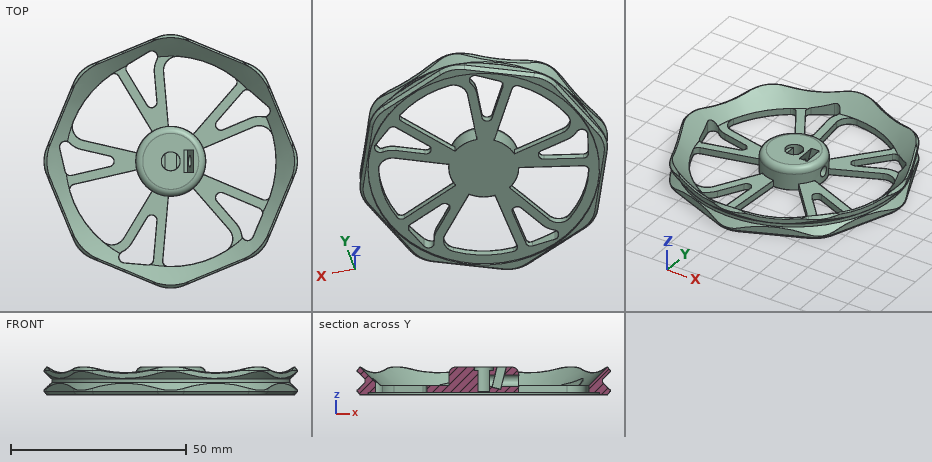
import cadquery as cq
import math

HEIGHT = 8.0
BLANK_HEIGHT = 1.5 * HEIGHT
RIM_SIDES = 8
RIM_CORNER_CIRCLE_DIAMETER = 74.0
RIM_CORNER_RADIUS = 10.0
CORNER_CHAMFER_HEIGHT = 1.0
CORNER_CHAMFER_DEPTH = 0.88
DISH_EDGE_CHAMFER = 0.8
GROOVE_FLOOR_RADIUS = 34.0
GROOVE_FLOOR_WIDTH = 1.0
GROOVE_MID_HEIGHT = HEIGHT / 2
GROOVE_REACH = 5.0
BOTTOM_RECESS_RADIUS = 33.0

WEB_BOTTOM = 0.6
WEB_TOP = 2.7
WEB_RADIUS = 30.0
SPOKE_COUNT = 5
FIRST_SPOKE_ANGLE = 36.0
SPOKE_PITCH = 360.0 / SPOKE_COUNT
ARM_ANGLE = 13.0
ARM_WIDTH = 2.7
ARM_OUTER_OFFSET = 0.22
SMALL_FILLET = 1.5
LARGE_FILLET = 4.0
SLOT_CAP_RADIUS = 1.65

HUB_RADIUS = 10.0
HUB_FILLET = 2.0
SHAFT_DIAMETER = 5.4
SHAFT_FLATS = 3.2
SHAFT_ROUND_DEPTH = 1.0
SHAFT_FLOOR = 1.0
SCREW_DIAMETER = 3.2
SCREW_HEIGHT = HEIGHT / 2
NUT_POCKET_WIDTH = 6.35
NUT_POCKET_OPENING = 2.6
NUT_POCKET_END = 6.42
NUT_POCKET_TILT = 14.0
NUT_POCKET_DEPTH = 6.6


def direction(angle):
    """Unit vector in the XY plane at an angle in degrees."""
    return cq.Vector(math.cos(math.radians(angle)), math.sin(math.radians(angle)))


def middle_direction(first, second):
    """Unit vector halfway between two vectors."""
    return (first.normalized() + second.normalized()).normalized()


def flat(vector):
    """X and Y of a vector."""
    return (vector.x, vector.y)


def fillet_upright_edge(body, point, radius):
    """Fillet the edge whose middle is nearest to an XY point at mid height."""
    nearest = cq.selectors.NearestToPointSelector((point.x, point.y, HEIGHT / 2))
    return body.edges(nearest).fillet(radius)


def revolved(profile):
    """Solid of revolution about Z from (radius, height) points."""
    return cq.Workplane("XZ").polyline(profile).close().revolve(360, (0, 0, 0), (0, 1, 0))


def cylinder(radius, bottom, top):
    return cq.Workplane("XY").workplane(offset=bottom).circle(radius).extrude(top - bottom)


def octagon_prism(height):
    return (
        cq.Workplane("XY")
        .polygon(RIM_SIDES, RIM_CORNER_CIRCLE_DIAMETER)
        .extrude(height)
        .edges("|Z")
        .fillet(RIM_CORNER_RADIUS)
    )


def make_dished_prism():
    """Prism with a 45 degree dish, rising past the final height, its sharp outer edge chamfered."""
    dish_end = WEB_RADIUS + BLANK_HEIGHT - WEB_TOP
    dish = revolved(
        [(0, WEB_TOP), (WEB_RADIUS, WEB_TOP), (dish_end, BLANK_HEIGHT), (0, BLANK_HEIGHT)]
    )
    prism = octagon_prism(BLANK_HEIGHT).cut(dish)
    cone_edges = prism.faces("%CONE").edges().vals()
    dish_rim = [edge for edge in cone_edges if edge.geomType() not in ("LINE", "CIRCLE")]
    return prism.newObject(dish_rim).chamfer(DISH_EDGE_CHAMFER)


def make_rim():
    envelope = octagon_prism(HEIGHT).faces("<Z or >Z").edges()
    envelope = envelope.chamfer(CORNER_CHAMFER_HEIGHT, CORNER_CHAMFER_DEPTH)
    rim = make_dished_prism().intersect(envelope)

    half_floor = GROOVE_FLOOR_WIDTH / 2
    groove_end = GROOVE_FLOOR_RADIUS + GROOVE_REACH
    half_mouth = half_floor + GROOVE_REACH
    groove = revolved(
        [
            (GROOVE_FLOOR_RADIUS, GROOVE_MID_HEIGHT - half_floor),
            (groove_end, GROOVE_MID_HEIGHT - half_mouth),
            (groove_end, GROOVE_MID_HEIGHT + half_mouth),
            (GROOVE_FLOOR_RADIUS, GROOVE_MID_HEIGHT + half_floor),
        ]
    )
    recess = cylinder(BOTTOM_RECESS_RADIUS, 0, WEB_BOTTOM)
    return rim.cut(groove).cut(recess)


def make_window():
    """Opening between the spoke along +X and the next one counter-clockwise."""
    near = direction(ARM_ANGLE)
    far = direction(SPOKE_PITCH - ARM_ANGLE)
    near_shift = direction(ARM_ANGLE + 90) * ARM_OUTER_OFFSET
    far_shift = direction(SPOKE_PITCH - ARM_ANGLE - 90) * ARM_OUTER_OFFSET
    start = HUB_RADIUS / 2
    end = 2 * WEB_RADIUS
    wedge = (
        cq.Workplane("XY")
        .moveTo(*flat(near * start + near_shift))
        .lineTo(*flat(near * end + near_shift))
        .lineTo(*flat(far * end + far_shift))
        .lineTo(*flat(far * start + far_shift))
        .close()
        .extrude(HEIGHT)
    )
    ring = cq.Workplane("XY").circle(WEB_RADIUS).circle(HUB_RADIUS).extrude(HEIGHT)
    window = wedge.intersect(ring)
    window = fillet_upright_edge(window, near * WEB_RADIUS, SMALL_FILLET)
    return fillet_upright_edge(window, far * WEB_RADIUS, LARGE_FILLET)


def make_slot():
    """Opening between the two arms of the spoke along +X."""
    straight = direction(ARM_ANGLE)
    straight_normal = direction(ARM_ANGLE + 90)
    curved = direction(-ARM_ANGLE)
    curved_normal = direction(90 - ARM_ANGLE)
    inset = ARM_WIDTH - ARM_OUTER_OFFSET

    apex = cq.Vector(inset / math.sin(math.radians(ARM_ANGLE)), 0)
    corner = straight * WEB_RADIUS - straight_normal * inset

    bend_side = LARGE_FILLET + ARM_OUTER_OFFSET
    bend_along = math.sqrt((WEB_RADIUS - LARGE_FILLET) ** 2 - bend_side**2)
    bend = curved * bend_along - curved_normal * bend_side
    bend_radius = LARGE_FILLET + ARM_WIDTH

    cap_along = WEB_RADIUS - SLOT_CAP_RADIUS
    bend_to_cap_along = cap_along - bend.dot(straight)
    bend_to_cap_side = math.sqrt((bend_radius + SLOT_CAP_RADIUS) ** 2 - bend_to_cap_along**2)
    cap_side = bend.dot(straight_normal) + bend_to_cap_side
    cap = straight * cap_along + straight_normal * cap_side
    to_bend = (bend - cap).normalized()

    cap_start = cap + straight * SLOT_CAP_RADIUS
    cap_middle = cap + middle_direction(straight, to_bend) * SLOT_CAP_RADIUS
    cap_end = cap + to_bend * SLOT_CAP_RADIUS
    bend_middle = bend + middle_direction(-to_bend, curved_normal) * bend_radius
    bend_end = bend + curved_normal * bend_radius

    slot = (
        cq.Workplane("XY")
        .moveTo(*flat(apex))
        .lineTo(*flat(corner))
        .lineTo(*flat(cap_start))
        .threePointArc(flat(cap_middle), flat(cap_end))
        .threePointArc(flat(bend_middle), flat(bend_end))
        .close()
        .extrude(HEIGHT)
    )
    slot = fillet_upright_edge(slot, apex, SMALL_FILLET)
    return fillet_upright_edge(slot, corner, SMALL_FILLET)


def make_hub():
    hub = cylinder(HUB_RADIUS, WEB_BOTTOM, HEIGHT)
    hub = hub.faces(">Z").edges().fillet(HUB_FILLET)

    mouth = cylinder(SHAFT_DIAMETER / 2, HEIGHT - SHAFT_ROUND_DEPTH, HEIGHT)
    flats = cq.Workplane("XY").box(SHAFT_FLATS, SHAFT_DIAMETER, 2 * HEIGHT)
    bore = cylinder(SHAFT_DIAMETER / 2, SHAFT_FLOOR, HEIGHT).intersect(flats)

    screw = cq.Workplane("YZ").center(0, SCREW_HEIGHT).circle(SCREW_DIAMETER / 2).extrude(HUB_RADIUS)

    tilt = math.radians(NUT_POCKET_TILT)
    thickness = NUT_POCKET_OPENING * math.cos(tilt)
    pocket = (
        cq.Workplane("XY")
        .box(thickness, NUT_POCKET_WIDTH, 2 * NUT_POCKET_DEPTH)
        .translate((-thickness / 2, 0, 0))
        .rotate((0, 0, 0), (0, 1, 0), NUT_POCKET_TILT)
        .translate((NUT_POCKET_END, 0, HEIGHT))
    )
    return hub.cut(mouth).cut(bore).cut(screw).cut(pocket)


window = make_window()
slot = make_slot()
wheel = make_rim()
for spoke in range(SPOKE_COUNT):
    angle = FIRST_SPOKE_ANGLE + spoke * SPOKE_PITCH
    for opening in (window, slot):
        wheel = wheel.cut(opening.rotate((0, 0, 0), (0, 0, 1), angle))

wheel = wheel.cut(cylinder(HUB_RADIUS, 0, HEIGHT))
result = wheel.union(make_hub())